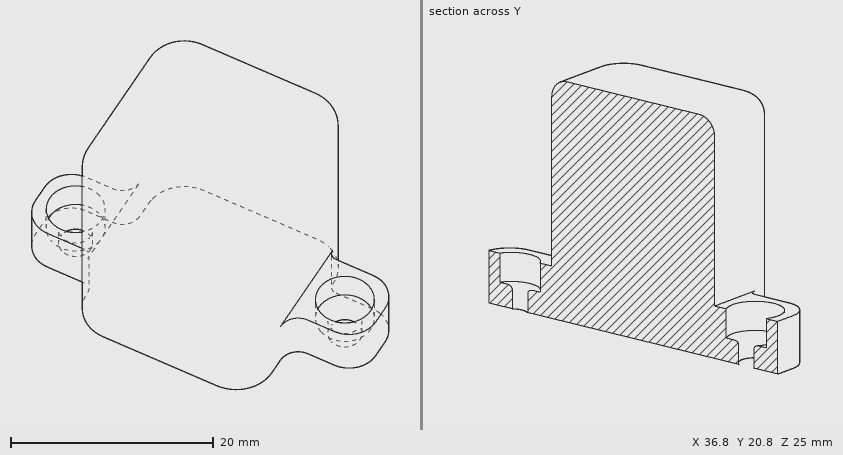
import cadquery as cq

body_side = 20.8
body_height = 25.0
body_corner_radius = 4.0
top_edge_radius = 2.0

overall_length = 36.8
ear_width = 8.0
ear_height = 5.5
ear_corner_radius = 3.0
ear_offset = 1.4
wide_root_radius = 2.0
narrow_root_radius = 0.8

hole_diameter = 3.4
counterbore_diameter = 5.8
counterbore_depth = 3.0
hole_rim_radius = 0.45
hole_end_margin = 4.0

half_length = overall_length / 2
half_body = body_side / 2
hole_x = half_length - hole_end_margin


def make_body():
    block = cq.Workplane("XY").rect(body_side, body_side).extrude(body_height)
    block = block.edges("|Z").fillet(body_corner_radius)
    return block.faces(">Z").edges().fillet(top_edge_radius)


def make_ear():
    """The +X ear, reaching inside the housing so that the two join fully."""
    ear_reach = half_length - half_body + body_corner_radius
    ear = cq.Workplane("XY").box(ear_reach, ear_width, ear_height, centered=(False, True, False))
    ear = ear.translate((half_length - ear_reach, ear_offset, 0))
    return ear.edges("|Z and >X").fillet(ear_corner_radius)


def make_root_fillet(side, radius):
    """Concave filler between the +X wall and the ear flank facing side * Y."""
    flank_y = ear_offset + side * ear_width / 2
    block = cq.Workplane("XY").center(half_body + radius / 2, flank_y + side * radius / 2)
    block = block.rect(radius, radius).extrude(ear_height)
    cove = cq.Workplane("XY").center(half_body + radius, flank_y + side * radius)
    return block.cut(cove.circle(radius).extrude(ear_height))


def make_screw_hole():
    """Cutting tool for the +X ear: bore with a rounded rim under a counterbore."""
    bore_radius = hole_diameter / 2
    counterbore_radius = counterbore_diameter / 2
    floor_z = ear_height - counterbore_depth
    rim_z = floor_z - hole_rim_radius
    rim_outer = bore_radius + hole_rim_radius
    profile = (
        cq.Workplane("XZ")
        .lineTo(bore_radius, 0)
        .lineTo(bore_radius, rim_z)
        .radiusArc((rim_outer, floor_z), hole_rim_radius)
        .lineTo(counterbore_radius, floor_z)
        .lineTo(counterbore_radius, ear_height)
        .lineTo(0, ear_height)
        .close()
    )
    return profile.revolve().translate((hole_x, ear_offset, 0))


ear = make_ear()
ear = ear.union(make_root_fillet(1, narrow_root_radius))
ear = ear.union(make_root_fillet(-1, wide_root_radius))
screw_hole = make_screw_hole()

result = make_body()
for angle in (0, 180):
    result = result.union(ear.rotate((0, 0, 0), (0, 0, 1), angle))
    result = result.cut(screw_hole.rotate((0, 0, 0), (0, 0, 1), angle))